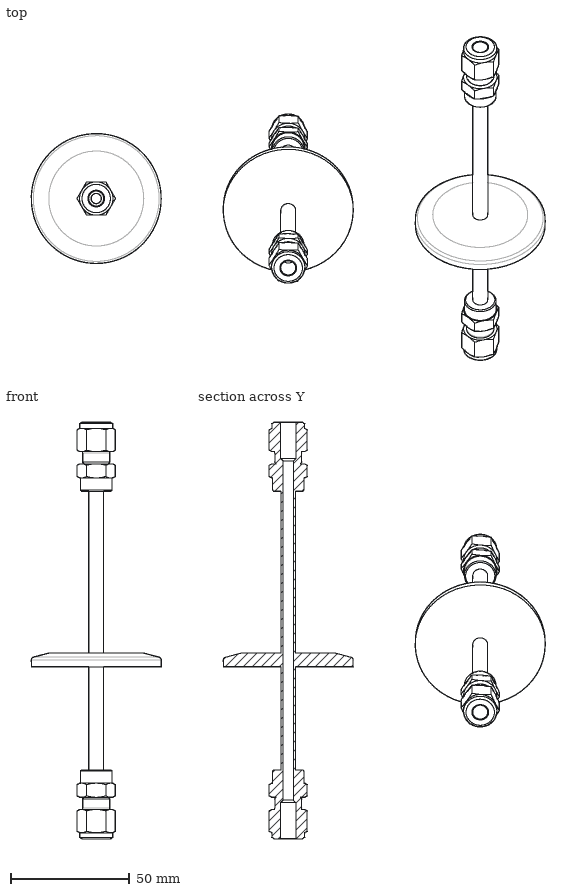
import cadquery as cq
import math

total_height = 176.0
tube_radius = 3.2
bore_radius = 2.1

flange_radius = 27.5
flange_flat_radius = 20.0
flange_bottom = 72.7
flange_rim_height = 3.9
flange_taper_angle = 15.0
flange_rim_fillet = 1.2

across_flats = 14.0
collar_radius = 7.0
collar_chamfer_height = 0.7
collar_chamfer_width = 1.0
nut_start = 2.6
nut_end = 12.5
neck_radius = 5.8
neck_hollow_start = 13.0
neck_hollow_end = 16.9
neck_hollow_depth = 0.09
neck_foot_radius = 5.3
body_hex_start = 17.6
body_hex_end = 23.5
shank_radius = 6.7
shank_chamfer = 0.5
fitting_length = 29.2
hex_chamfer_angle = 30.0

socket_mouth_radius = 3.5
socket_mouth_depth = 0.2
socket_radius = 3.2
socket_depth = 15.3
seat_angle = 45.0


def cylinder(radius, start, end):
    return cq.Workplane("XY").workplane(offset=start).circle(radius).extrude(end - start)


def chamfered_hex(start, end):
    """Hexagonal prism, corners on X, with its corners turned down at both ends."""
    corner_radius = across_flats / math.sqrt(3)
    flat_radius = across_flats / 2
    width = corner_radius - flat_radius
    drop = width * math.tan(math.radians(hex_chamfer_angle))
    prism = cq.Workplane("XY").workplane(offset=start).polygon(6, 2 * corner_radius).extrude(end - start)
    envelope = cylinder(corner_radius, start, end).faces("<Z or >Z").chamfer(drop, width)
    return prism.intersect(envelope)


def revolve_about_z(profile):
    return profile.close().revolve(360, (0, 0), (0, 1))


def make_neck():
    """Round neck between the hexagons: slightly hollow flank, then a taper down to the body."""
    hollow_middle = (neck_hollow_start + neck_hollow_end) / 2
    profile = (
        cq.Workplane("XZ")
        .moveTo(0, nut_end)
        .lineTo(neck_radius, nut_end)
        .lineTo(neck_radius, neck_hollow_start)
        .threePointArc(
            (neck_radius - neck_hollow_depth, hollow_middle),
            (neck_radius, neck_hollow_end),
        )
        .lineTo(neck_foot_radius, body_hex_start)
        .lineTo(0, body_hex_start)
    )
    return revolve_about_z(profile)


def make_fitting():
    """Fitting with its open end at Z = 0, running upward to its shank."""
    collar = cylinder(collar_radius, 0, nut_start)
    collar = collar.faces("<Z").chamfer(collar_chamfer_height, collar_chamfer_width)
    nut = chamfered_hex(nut_start, nut_end)
    neck = make_neck()
    body = chamfered_hex(body_hex_start, body_hex_end)
    shank = cylinder(shank_radius, body_hex_end, fitting_length).faces(">Z").chamfer(shank_chamfer)
    return collar.union(nut).union(neck).union(body).union(shank)


def make_socket():
    seat_length = (socket_radius - bore_radius) / math.tan(math.radians(seat_angle))
    profile = [
        (0, 0),
        (socket_mouth_radius, 0),
        (socket_radius, socket_mouth_depth),
        (socket_radius, socket_depth),
        (bore_radius, socket_depth + seat_length),
        (0, socket_depth + seat_length),
    ]
    return revolve_about_z(cq.Workplane("XZ").polyline(profile))


def make_flange():
    rim_drop = (flange_radius - flange_flat_radius) * math.tan(math.radians(flange_taper_angle))
    thickness = flange_rim_height + rim_drop
    profile = [
        (0, 0),
        (flange_radius, 0),
        (flange_radius, flange_rim_height),
        (flange_flat_radius, thickness),
        (0, thickness),
    ]
    disc = revolve_about_z(cq.Workplane("XZ").polyline(profile))
    disc = disc.faces("%CYLINDER").edges(">Z").fillet(flange_rim_fillet)
    return disc.translate((0, 0, flange_bottom))


def at_both_ends(shape):
    return shape.union(shape.mirror("XY").translate((0, 0, total_height)))


tube = cylinder(tube_radius, fitting_length, total_height - fitting_length)
bore = cylinder(bore_radius, 0, total_height)
result = at_both_ends(make_fitting()).union(tube).union(make_flange())
result = result.cut(at_both_ends(make_socket())).cut(bore)